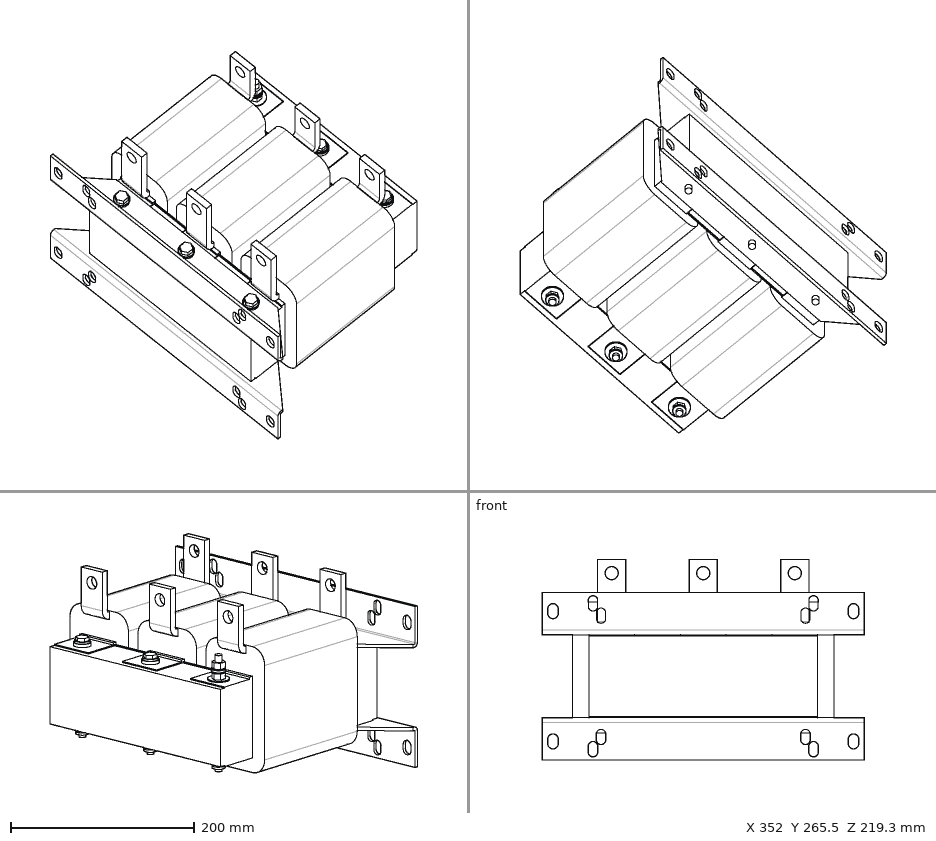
import cadquery as cq
import math


limb_pitch = 100.0
limb_width = 50.0
core_width = 2 * limb_pitch + limb_width
core_length = 256.3
core_height = 88.0
core_top = core_height / 2
core_end = core_length / 2
yoke_depth = limb_width
yoke_inner = core_end - yoke_depth
yoke_middle = core_end - yoke_depth / 2
limb_positions = [-limb_pitch, 0, limb_pitch]

coil_length = 151.5
coil_end = coil_length / 2
coil_corner = 18.0
coil_width = limb_width + 2 * coil_corner
coil_bottom = -core_top - coil_corner
coil_top = 81.3

sheet = 1.23
pad_end = 121.0
pad_top = core_top + sheet
lip_depth = 4.5
lip_height = 2.5

terminal_width = 31.0
terminal_thickness = 8.0
terminal_inner_bend = 4.0
terminal_outer_bend = terminal_inner_bend + terminal_thickness
terminal_top = 127.8
rear_bend_height = 83.8
front_bend_height = 60.0
terminal_hole = 14.0
terminal_hole_height = 112.5

bracket_length = 352.0
bracket_thickness = 4.0
bracket_inner_bend = 1.5
bracket_outer_bend = bracket_inner_bend + bracket_thickness
bracket_back = -86.2
bracket_front = -137.3
bracket_tip = 91.5
bracket_taper_end = -130.0
bracket_seat = pad_top
bracket_face = bracket_seat + bracket_thickness

slots = [
    (164.0, 71.0, 11.3, 16.2),
    (120.5, 79.5, 10.2, 16.5),
    (111.5, 66.0, 10.2, 16.5),
]

bolt_diameter = 7.7
rod_diameter = 8.0
hex_flats = 13.0
hex_corners = hex_flats / math.cos(math.pi / 6)
bolt_head_height = 9.5
front_bolt_bottom = -56.3
rear_rod_bottom = -58.8
rear_rod_top = 73.2

front_bolt_washers = [(17.0, 3.0), (18.3, 1.0)]
rear_bolt_washers = [(19.5, 3.5), (17.2, 2.0)]

nut_height = 7.0
large_washer_diameter = 24.3
small_washer_diameter = 15.5
spring_washer_diameter = 14.8
small_washer_height = 1.23
spring_washer_height = 2.5
bottom_washer_height = 2.5
bottom_nut_height = 5.0
bottom_collar_height = 2.5


def block(x_min, x_max, y_min, y_max, z_min, z_max):
    """Box given by its limits."""
    size = (x_max - x_min, y_max - y_min, z_max - z_min)
    return cq.Workplane("XY").box(*size, centered=False).translate((x_min, y_min, z_min))


def disc(x, y, z, diameter, height):
    """Upright cylinder standing on height z."""
    return cq.Workplane("XY", origin=(x, y, z)).circle(diameter / 2).extrude(height)


def hexagon(x, y, z, height):
    """Upright hexagonal prism with flats facing X, standing on height z."""
    prism = cq.Workplane("XY").polygon(6, hex_corners).extrude(height)
    return prism.rotate((0, 0, 0), (0, 0, 1), 90).translate((x, y, z))


def make_core():
    half_width = core_width / 2
    core = block(-half_width, half_width, yoke_inner, core_end, -core_top, core_top)
    core = core.union(core.mirror("XZ"))
    for x in limb_positions:
        half_limb = limb_width / 2
        core = core.union(block(x - half_limb, x + half_limb, -yoke_inner, yoke_inner, -core_top, core_top))
    return core


def make_coil(x):
    half_width = coil_width / 2
    coil = block(x - half_width, x + half_width, -coil_end, coil_end, coil_bottom, coil_top)
    return coil.edges("|Y").fillet(coil_corner)


def make_yoke_sheet():
    """Sheet lining the inner face of the rear yoke, slightly taller than the core."""
    half_width = core_width / 2
    return block(-half_width, half_width, yoke_inner - sheet, yoke_inner, -pad_top, pad_top)


def make_pads(x):
    """Pads over and under the rear yoke, with a raised lip against the coil end."""
    left = x - limb_width / 2
    right = x + limb_width / 2
    pads = block(left, right, coil_end, pad_end, core_top, pad_top)
    pads = pads.union(block(left, right, coil_end, pad_end, -pad_top, -core_top))
    pads = pads.union(block(left, right, coil_end, yoke_inner, -pad_top, pad_top))
    return pads.union(block(left, right, coil_end, coil_end + lip_depth, pad_top, pad_top + lip_height))


def make_terminal(x, bend_height):
    """Terminal on the rear coil end: a quarter bend out of the coil end, then a flat bar with a hole."""
    inner_y = coil_end + terminal_inner_bend
    outer_y = coil_end + terminal_outer_bend
    diagonal = math.sqrt(0.5)
    bar = (
        cq.Workplane("YZ", origin=(x - terminal_width / 2, 0, 0))
        .moveTo(coil_end, bend_height - terminal_outer_bend)
        .threePointArc(
            (coil_end + terminal_outer_bend * diagonal, bend_height - terminal_outer_bend * diagonal),
            (outer_y, bend_height),
        )
        .lineTo(outer_y, terminal_top)
        .lineTo(inner_y, terminal_top)
        .lineTo(inner_y, bend_height)
        .threePointArc(
            (coil_end + terminal_inner_bend * diagonal, bend_height - terminal_inner_bend * diagonal),
            (coil_end, bend_height - terminal_inner_bend),
        )
        .close()
        .extrude(terminal_width)
    )
    hole = (
        cq.Workplane("XZ", origin=(x, outer_y, terminal_hole_height))
        .circle(terminal_hole / 2)
        .extrude(terminal_thickness)
    )
    return bar.cut(hole)


def make_upper_bracket():
    """Tapered plate on the front yoke, bent up into a slotted mounting flange."""
    half_length = bracket_length / 2
    flange_back = bracket_front + bracket_thickness
    bracket = (
        cq.Workplane("YZ", origin=(-half_length, 0, 0))
        .moveTo(bracket_back, bracket_seat)
        .lineTo(bracket_front, bracket_seat)
        .lineTo(bracket_front, bracket_tip)
        .lineTo(flange_back, bracket_tip)
        .lineTo(flange_back, bracket_face)
        .lineTo(bracket_back, bracket_face)
        .close()
        .extrude(bracket_length)
    )
    outer_edge = cq.selectors.NearestToPointSelector((0, bracket_front, bracket_seat))
    bracket = bracket.edges(outer_edge).fillet(bracket_outer_bend)
    inner_edge = cq.selectors.NearestToPointSelector((0, flange_back, bracket_face))
    bracket = bracket.edges(inner_edge).fillet(bracket_inner_bend)

    outline = (
        cq.Workplane("XY", origin=(0, 0, bracket_seat))
        .moveTo(-core_width / 2, bracket_back)
        .lineTo(core_width / 2, bracket_back)
        .lineTo(half_length, bracket_taper_end)
        .lineTo(half_length, bracket_front)
        .lineTo(-half_length, bracket_front)
        .lineTo(-half_length, bracket_taper_end)
        .close()
        .extrude(bracket_tip - bracket_seat)
    )
    bracket = bracket.intersect(outline)

    for offset, height, width, length in slots:
        cutter = (
            cq.Workplane("XZ", origin=(0, flange_back, 0))
            .pushPoints([(-offset, height), (offset, height)])
            .slot2D(length, width, 90)
            .extrude(bracket_thickness)
        )
        bracket = bracket.cut(cutter)
    return bracket


def make_washer_stack(x, y, seat, washers):
    """Washers of given diameter and height piled up from the seat."""
    first_diameter, first_height = washers[0]
    stack = disc(x, y, seat, first_diameter, first_height)
    level = seat + first_height
    for diameter, height in washers[1:]:
        stack = stack.union(disc(x, y, level, diameter, height))
        level += height
    return stack


def make_bolt(x, y, seat, bottom, washers):
    """Hexagon bolt; its head is joined to the washers standing on the seat."""
    bolt = disc(x, y, bottom, bolt_diameter, seat - bottom)
    bolt = bolt.union(make_washer_stack(x, y, seat, washers))
    return bolt.union(hexagon(x, y, seat, bolt_head_height))


def make_bottom_nut(x, y):
    """Large washer, nut and collar under the rear yoke."""
    washer_face = -pad_top - bottom_washer_height
    nut_face = washer_face - bottom_nut_height
    nut = disc(x, y, washer_face, large_washer_diameter, bottom_washer_height)
    nut = nut.union(hexagon(x, y, nut_face, bottom_nut_height))
    collar_face = nut_face - bottom_collar_height
    return nut.union(disc(x, y, collar_face, spring_washer_diameter, bottom_collar_height))


def make_earth_stud(x, y):
    """Threaded rod with a stack of washers between two nuts."""
    stud = disc(x, y, rear_rod_bottom, rod_diameter, rear_rod_top - rear_rod_bottom)
    stud = stud.union(disc(x, y, pad_top, large_washer_diameter, small_washer_height))
    nut_seat = pad_top + small_washer_height
    stud = stud.union(hexagon(x, y, nut_seat, nut_height))
    washers = [
        (small_washer_diameter, small_washer_height),
        (spring_washer_diameter, spring_washer_height),
        (small_washer_diameter, small_washer_height),
    ]
    washer_seat = nut_seat + nut_height
    stud = stud.union(make_washer_stack(x, y, washer_seat, washers))
    top_nut_seat = washer_seat + 2 * small_washer_height + spring_washer_height
    return stud.union(hexagon(x, y, top_nut_seat, nut_height))


yoke_sheet = make_yoke_sheet()
result = make_core().union(yoke_sheet).union(yoke_sheet.mirror("XZ"))

for limb_x in limb_positions:
    pads = make_pads(limb_x)
    result = result.union(make_coil(limb_x)).union(pads).union(pads.mirror("XZ"))
    result = result.union(make_terminal(limb_x, rear_bend_height))
    result = result.union(make_terminal(limb_x, front_bend_height).mirror("XZ"))

upper_bracket = make_upper_bracket()
result = result.union(upper_bracket).union(upper_bracket.mirror("XY"))

for limb_x in limb_positions:
    front_bolt = make_bolt(limb_x, -yoke_middle, bracket_face, front_bolt_bottom, front_bolt_washers)
    result = result.union(front_bolt)
    result = result.union(make_bottom_nut(limb_x, yoke_middle))
    if limb_x == limb_positions[0]:
        result = result.union(make_earth_stud(limb_x, yoke_middle))
    else:
        rear_bolt = make_bolt(limb_x, yoke_middle, pad_top, rear_rod_bottom, rear_bolt_washers)
        result = result.union(rear_bolt)